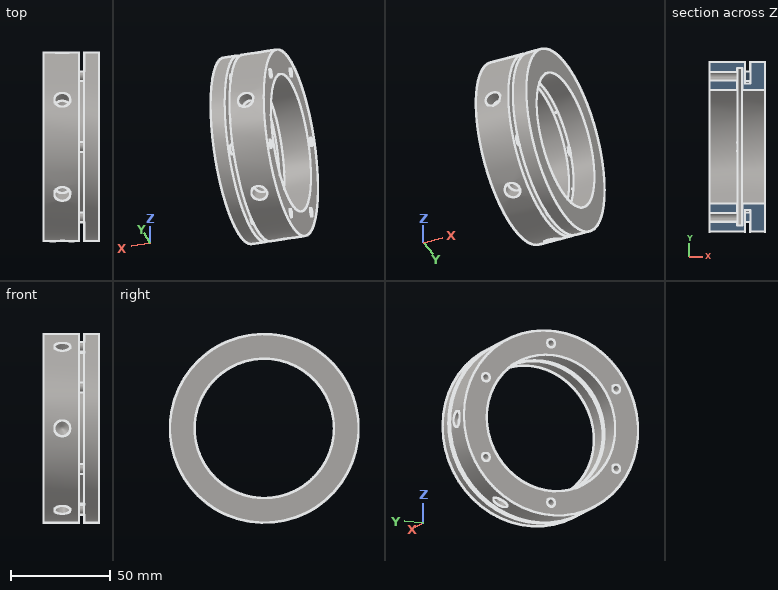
import cadquery as cq
import math

ring_length = 28.0
outer_radius = 47.5
bore_radius = 35.0

groove_width = 2.5
outer_groove_start = 18.0
outer_groove_floor_radius = 38.0
groove_depth = outer_radius - outer_groove_floor_radius
web_thickness = 1.5
inner_groove_end = outer_groove_start - web_thickness
inner_groove_start = inner_groove_end - groove_width
inner_groove_floor_radius = bore_radius + groove_depth

pattern_count = 6
pattern_step = 360.0 / pattern_count
pin_circle_radius = 41.0
pin_diameter = 5.0

mount_hole_diameter = 4.2
mount_hole_depth = inner_groove_start

drill_point_angle = 118.0
radial_hole_diameter = 8.0
radial_hole_depth = 8.0
radial_hole_x = 9.5


def ring(inner_radius, radius, start, length):
    """Plain ring about the X axis."""
    return cq.Workplane("YZ", origin=(start, 0, 0)).circle(radius).circle(inner_radius).extrude(length)


def offset_cylinder(diameter, start, length):
    """Cylinder along X whose centre lies on the pin circle, straight above the ring axis."""
    return cq.Workplane("YZ", origin=(start, 0, pin_circle_radius)).circle(diameter / 2).extrude(length)


def make_radial_drill():
    """Cylinder with a conical point, entering from the top and pointing down at the ring axis."""
    radius = radial_hole_diameter / 2
    point_length = radius / math.tan(math.radians(drill_point_angle / 2))
    shoulder_z = outer_radius - radial_hole_depth
    tip_z = shoulder_z - point_length
    return (
        cq.Workplane("XZ", origin=(radial_hole_x, 0, 0))
        .polyline([(0, outer_radius), (radius, outer_radius), (radius, shoulder_z), (0, tip_z)])
        .close()
        .revolve(360, (0, 0, 0), (0, 1, 0))
    )


def around_axis(shape, first_angle):
    """Copies of a shape evenly spaced about the X axis."""
    return [
        shape.rotate((0, 0, 0), (1, 0, 0), first_angle + i * pattern_step)
        for i in range(pattern_count)
    ]


def make_flexure_ring():
    body = ring(bore_radius, outer_radius, 0, ring_length)
    body = body.cut(ring(outer_groove_floor_radius, outer_radius, outer_groove_start, groove_width))
    body = body.cut(ring(bore_radius, inner_groove_floor_radius, inner_groove_start, groove_width))

    mount_hole = offset_cylinder(mount_hole_diameter, 0, mount_hole_depth)
    for hole in around_axis(mount_hole, 0):
        body = body.cut(hole)

    for hole in around_axis(make_radial_drill(), pattern_step / 2):
        body = body.cut(hole)
    return body


def make_pins():
    """Spacer pins bridging the outer groove from wall to wall."""
    pin = offset_cylinder(pin_diameter, outer_groove_start, groove_width)
    return around_axis(pin, 0)


flexure_ring = make_flexure_ring()
pins = make_pins()

result = cq.Compound.makeCompound([flexure_ring.val(), *[pin.val() for pin in pins]])